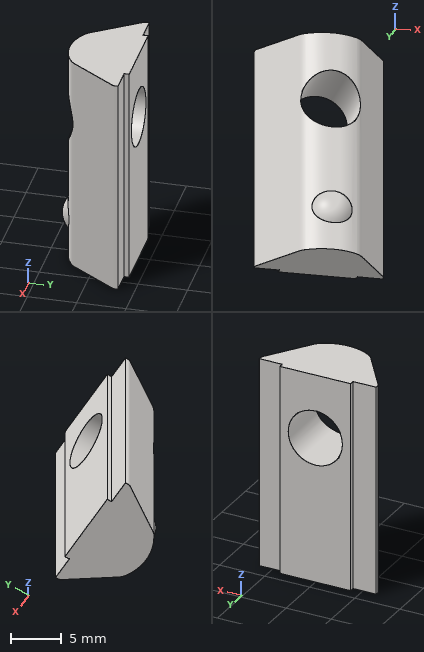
import cadquery as cq
import math

length = 23.0
width = 13.0
total_depth = 7.68

rib_width = 7.87
rib_height = 0.5
edge_depth = 1.0
flank_angle = 55.0
crown_depth = 7.0
crown_radius = 5.0
outer_edge_radius = 0.5
shoulder_radius = 2.0

hole_diameter = 6.0
hole_height = 16.0
ball_radius = 2.4
ball_height = 4.5


def flank_crown_corner():
    """Sharp corner on the +X side where the sloping flank meets the crown arc."""
    center_y = crown_radius - crown_depth
    angle = math.radians(flank_angle)
    run_x, run_y = -math.cos(angle), -math.sin(angle)
    offset_x = width / 2
    offset_y = -edge_depth - center_y
    along = offset_x * run_x + offset_y * run_y
    across = offset_x * run_y - offset_y * run_x
    half_chord = math.sqrt(crown_radius**2 - across**2)
    distance = -along + half_chord
    return offset_x + distance * run_x, -edge_depth + distance * run_y


def make_body():
    corner_x, corner_y = flank_crown_corner()
    half_width = width / 2
    half_rib = rib_width / 2
    body = (
        cq.Workplane("XY")
        .moveTo(-half_rib, 0)
        .lineTo(half_rib, 0)
        .lineTo(half_rib, -rib_height)
        .lineTo(half_width, -rib_height)
        .lineTo(half_width, -edge_depth)
        .lineTo(corner_x, corner_y)
        .threePointArc((0, -crown_depth), (-corner_x, corner_y))
        .lineTo(-half_width, -edge_depth)
        .lineTo(-half_width, -rib_height)
        .lineTo(-half_rib, -rib_height)
        .close()
        .extrude(length)
    )
    for x, y, radius in (
        (half_width, -edge_depth, outer_edge_radius),
        (corner_x, corner_y, shoulder_radius),
    ):
        for side in (-1, 1):
            edge = cq.selectors.NearestToPointSelector((side * x, y, length / 2))
            body = body.edges(edge).fillet(radius)
    return body


def make_hole():
    """Cylinder through the full depth of the body."""
    return (
        cq.Workplane("XZ")
        .center(0, hole_height)
        .circle(hole_diameter / 2)
        .extrude(total_depth)
    )


def make_ball():
    """Ball partly sunk in the crown; its tip sets the total depth."""
    ball_y = ball_radius - total_depth
    return cq.Workplane("XY").sphere(ball_radius).translate((0, ball_y, ball_height))


result = make_body().cut(make_hole()).union(make_ball())